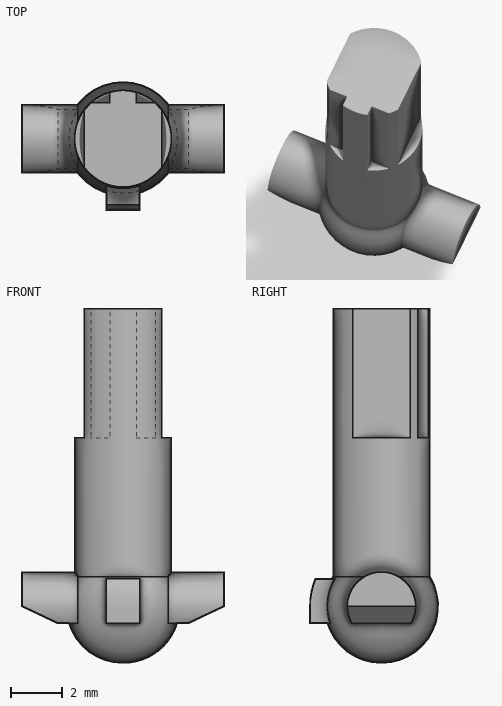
import cadquery as cq
import math

total_height = 13.74
ball_radius = 2.2
shaft_diameter = 3.75
pin_diameter = 2.65
pin_span = 7.85
pin_chamfer_length = 1.39
underside_z = 1.54
tab_width = 1.29
tab_top_z = 3.25
tab_reach = 2.78
drive_length = 5.0
drive_width = 3.02
drive_back_y = 1.4
key_width = 1.03

ball_z = ball_radius
shaft_radius = shaft_diameter / 2


def make_shaft():
    """Round shaft whose top end has two side flats and a key at the back."""
    shaft = cq.Workplane("XY").workplane(offset=ball_z).circle(shaft_radius).extrude(total_height - ball_z)
    drive_z = total_height - drive_length
    drive_end = cq.Workplane("XY").workplane(offset=drive_z)
    core_depth = drive_back_y + shaft_radius
    core = (
        drive_end.center(0, drive_back_y - core_depth / 2)
        .rect(drive_width, core_depth)
        .extrude(drive_length)
    )
    key = drive_end.center(0, shaft_radius / 2).rect(key_width, shaft_radius).extrude(drive_length)
    plain_length = drive_z - ball_z
    plain = cq.Workplane("XY").workplane(offset=ball_z).circle(shaft_radius).extrude(plain_length)
    return shaft.intersect(core.union(key).union(plain))


def make_cross_pin():
    """Cross pin along X with a flat underside and sloping lower ends."""
    half_span = pin_span / 2
    pin_top_z = ball_z + pin_diameter / 2
    flat_half_length = half_span - pin_chamfer_length
    pin = (
        cq.Workplane("YZ", origin=(-half_span, 0, ball_z))
        .circle(pin_diameter / 2)
        .extrude(pin_span)
    )
    side_profile = (
        cq.Workplane("XZ")
        .moveTo(-half_span, pin_top_z)
        .lineTo(-half_span, ball_z)
        .lineTo(-flat_half_length, underside_z)
        .lineTo(flat_half_length, underside_z)
        .lineTo(half_span, ball_z)
        .lineTo(half_span, pin_top_z)
        .close()
        .extrude(pin_diameter / 2, both=True)
    )
    return pin.intersect(side_profile)


def make_tab():
    """Front tab; its upright outer face curves inward above the ball centre."""
    rise = tab_top_z - ball_z
    arc_angle = math.asin(rise / tab_reach)
    arc_middle = (
        -tab_reach * math.cos(arc_angle / 2),
        ball_z + tab_reach * math.sin(arc_angle / 2),
    )
    arc_end = (-tab_reach * math.cos(arc_angle), tab_top_z)
    return (
        cq.Workplane("YZ")
        .moveTo(0, underside_z)
        .lineTo(-tab_reach, underside_z)
        .lineTo(-tab_reach, ball_z)
        .threePointArc(arc_middle, arc_end)
        .lineTo(0, tab_top_z)
        .close()
        .extrude(tab_width / 2, both=True)
    )


ball = cq.Workplane("XY").sphere(ball_radius).translate((0, 0, ball_z))
result = ball.union(make_shaft()).union(make_cross_pin()).union(make_tab())